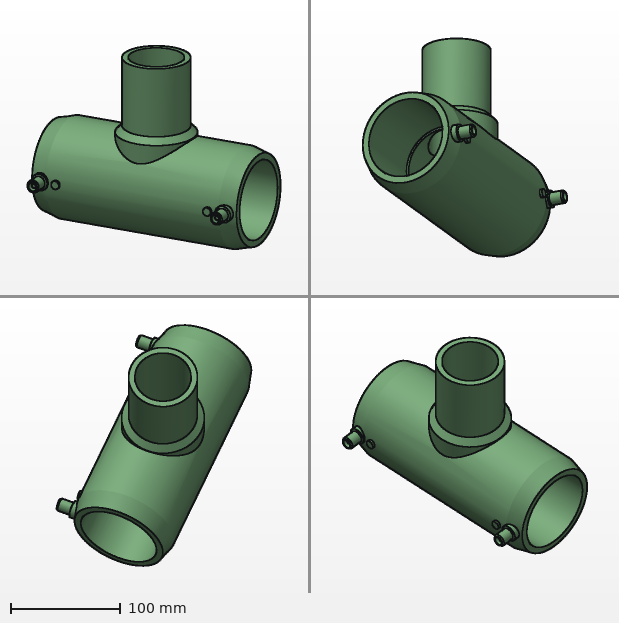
import cadquery as cq

run_length = 210.5
run_diameter = 96.5
run_end_diameter = 87.5
end_taper_length = 16.5
run_bore = 70.5
socket_diameter = 75.0
socket_depth = 77.9

branch_diameter = 63.0
branch_bore = 51.4
branch_top = 121.0
collar_diameter = 75.5
collar_top = 48.8
collar_taper = (collar_diameter - branch_diameter) / 2

terminal_inset = 11.0
terminal_tip = 64.0
terminal_diameter = 12.0
terminal_chamfer_length = 1.5
terminal_chamfer_width = 1.0
contact_recess_diameter = 8.0
contact_pin_diameter = 5.0
contact_recess_depth = 10.5
contact_setback = 3.0
contact_chamfer = 0.6
boss_diameter = 16.0
boss_edge = 50.0
boss_cone_height = 0.6
indicator_inset = 27.2
indicator_diameter = 8.0
indicator_face = 50.5
wall_middle = (run_diameter + socket_diameter) / 4


def rod_x(diameter, start, length):
    return cq.Workplane("YZ", origin=(start, 0, 0)).circle(diameter / 2).extrude(length)


def rod_z(diameter, top):
    return cq.Workplane("XY").circle(diameter / 2).extrude(top)


def rod_out(diameter, x, root, tip):
    """Cylinder pointing along -Y, between two distances from the run axis."""
    return cq.Workplane("XZ", origin=(x, -root, 0)).circle(diameter / 2).extrude(tip - root)


def run_body():
    half = run_length / 2
    shoulder = half - end_taper_length
    outline = [
        (-half, 0),
        (-half, run_end_diameter / 2),
        (-shoulder, run_diameter / 2),
        (shoulder, run_diameter / 2),
        (half, run_end_diameter / 2),
        (half, 0),
    ]
    return cq.Workplane("XY").polyline(outline).close().revolve(360, (0, 0, 0), (1, 0, 0))


def branch_body():
    outline = [
        (0, 0),
        (collar_diameter / 2, 0),
        (collar_diameter / 2, collar_top),
        (branch_diameter / 2, collar_top + collar_taper),
        (branch_diameter / 2, branch_top),
        (0, branch_top),
    ]
    return cq.Workplane("XZ").polyline(outline).close().revolve(360, (0, 0, 0), (0, 1, 0))


def terminal(x):
    boss = rod_out(boss_diameter, x, wall_middle, boss_edge)
    cone = cq.Workplane(
        cq.Solid.makeCone(
            boss_diameter / 2,
            terminal_diameter / 2,
            boss_cone_height,
            cq.Vector(x, -boss_edge, 0),
            cq.Vector(0, -1, 0),
        )
    )
    pin = rod_out(terminal_diameter, x, wall_middle, terminal_tip)
    pin = pin.faces("<Y").edges().chamfer(terminal_chamfer_length, terminal_chamfer_width)
    recess_floor = terminal_tip - contact_recess_depth
    recess = rod_out(contact_recess_diameter, x, recess_floor, terminal_tip)
    contact = rod_out(contact_pin_diameter, x, recess_floor, terminal_tip - contact_setback)
    contact = contact.faces("<Y").chamfer(contact_chamfer)
    return boss.union(cone).union(pin).cut(recess.cut(contact))


def indicator(x):
    return rod_out(indicator_diameter, x, wall_middle, indicator_face)


result = run_body().union(branch_body())
result = result.cut(rod_x(run_bore, -run_length / 2, run_length))
result = result.cut(rod_z(branch_bore, branch_top))
for side in (-1, 1):
    socket_start = side * run_length / 2
    result = result.cut(rod_x(socket_diameter, socket_start, -side * socket_depth))
    result = result.union(terminal(side * (run_length / 2 - terminal_inset)))
    result = result.union(indicator(side * (run_length / 2 - indicator_inset)))